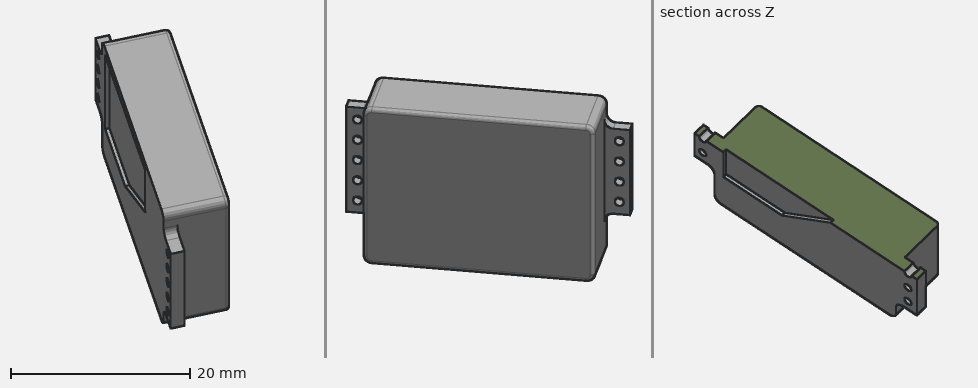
import cadquery as cq

case_width = 26.3
case_height = 19.6
case_depth = 7.7
corner_radius = 1.0
rear_edge_radius = 0.5

tab_thickness = 1.6
left_tab_length = 2.9
right_tab_length = 3.0
right_tab_height = 13.2
left_tab_height = 10.7
tab_root_radius = 1.0
tab_top = right_tab_height / 2

hole_diameter = 1.0
hole_pitch = 2.54
left_hole_count = 4
right_hole_count = 5
left_hole_edge_distance = 1.2
right_hole_edge_distance = 1.3
first_hole_z = hole_pitch * (right_hole_count - 1) / 2

recess_width = 17.0
recess_height = 13.0
recess_depth = 0.5
recess_margin = 1.3
recess_cut_width = 8.5
recess_cut_height = 5.5


def make_case():
    """Block with rounded corners and a rounded rear edge."""
    block = cq.Workplane("XY").box(case_width, case_depth, case_height, centered=(True, False, True))
    return block.edges("|Y").fillet(corner_radius).faces(">Y").edges().fillet(rear_edge_radius)


def make_tab(side, length, height):
    """Flat tab flaring into the case wall; side is -1 for left and 1 for right."""
    wall_x = side * case_width / 2
    tip_x = wall_x + side * length
    inner_x = wall_x - side * corner_radius
    root_x = wall_x + side * tab_root_radius
    tab_bottom = tab_top - height
    arc_offset = tab_root_radius * 0.5**0.5
    arc_x = root_x - side * arc_offset
    flare_top = tab_top + tab_root_radius
    flare_bottom = tab_bottom - tab_root_radius
    return (
        cq.Workplane("XZ")
        .moveTo(inner_x, flare_top)
        .lineTo(wall_x, flare_top)
        .threePointArc((arc_x, flare_top - arc_offset), (root_x, tab_top))
        .lineTo(tip_x, tab_top)
        .lineTo(tip_x, tab_bottom)
        .lineTo(root_x, tab_bottom)
        .threePointArc((arc_x, flare_bottom + arc_offset), (wall_x, flare_bottom))
        .lineTo(inner_x, flare_bottom)
        .close()
        .extrude(-tab_thickness)
    )


def make_hole_row(x, count):
    """Cylinders for one row of through holes."""
    centres = [(x, first_hole_z - i * hole_pitch) for i in range(count)]
    return cq.Workplane("XZ").pushPoints(centres).circle(hole_diameter / 2).extrude(-tab_thickness)


def make_recess():
    """Five-sided pocket volume behind the front face."""
    left = -case_width / 2 + recess_margin
    right = left + recess_width
    top = case_height / 2 - recess_margin
    bottom = top - recess_height
    outline = [
        (left, top),
        (right, top),
        (right, bottom + recess_cut_height),
        (right - recess_cut_width, bottom),
        (left, bottom),
    ]
    return cq.Workplane("XZ").polyline(outline).close().extrude(-recess_depth)


left_hole_x = -case_width / 2 - left_tab_length + left_hole_edge_distance
right_hole_x = case_width / 2 + right_tab_length - right_hole_edge_distance

result = (
    make_case()
    .union(make_tab(-1, left_tab_length, left_tab_height))
    .union(make_tab(1, right_tab_length, right_tab_height))
    .cut(make_hole_row(left_hole_x, left_hole_count))
    .cut(make_hole_row(right_hole_x, right_hole_count))
    .cut(make_recess())
)